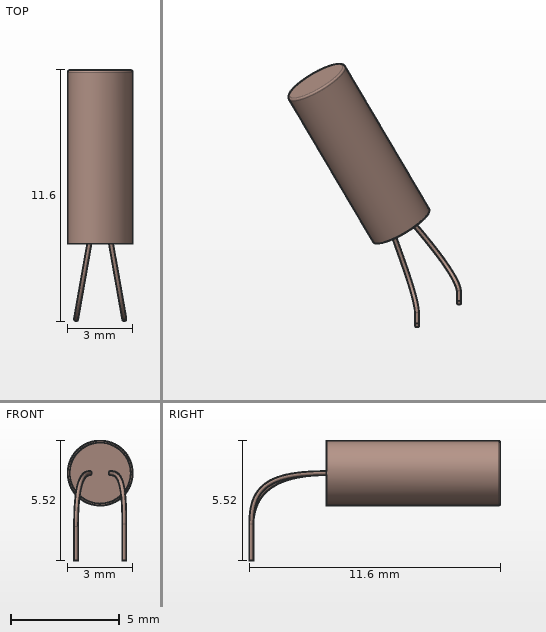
import cadquery as cq
import math

can_diameter = 3.0
can_length = 8.0
wall = 0.1
end_radius = wall
core_diameter = can_diameter - 2 * wall
rim_recess = 0.05

lead_diameter = 0.2
lead_spacing = 1.0
splay_angle = 10.0
lead_reach = 3.45
lead_drop = 4.02
lead_root = lead_diameter

left_bend_drop = 2.44
left_bend_fullness = 0.675
right_bend_drop = 2.33
right_bend_fullness = 0.75


def make_can():
    """Cup with a rounded closed end, its rim at Y = 0."""
    shell = cq.Workplane("XZ").circle(can_diameter / 2).extrude(-can_length)
    shell = shell.faces(">Y").edges().fillet(end_radius)
    bore = cq.Workplane("XZ").circle(core_diameter / 2).extrude(wall - can_length)
    return shell.cut(bore)


def make_lead(side, bend_drop, bend_fullness):
    """Wire that leaves the core face and bends down; side is -1 for left, 1 for right."""
    splay = math.radians(splay_angle)
    outward = cq.Vector(side * math.sin(splay), -math.cos(splay), 0)
    down = cq.Vector(0, 0, -1)

    run = (lead_reach + rim_recess) / math.cos(splay)
    rim_point = cq.Vector(side * lead_spacing / 2, 0, 0)
    start = rim_point - outward * (rim_recess / math.cos(splay))
    root = start - outward * lead_root
    bend_end = start + outward * run + down * bend_drop
    tip = start + outward * run + down * lead_drop

    stub = cq.Edge.makeLine(root, start)
    bend = cq.Edge.makeBezier([
        start,
        start + outward * (bend_fullness * run),
        bend_end - down * (bend_fullness * bend_drop),
        bend_end,
    ])
    tail = cq.Edge.makeLine(bend_end, tip)
    path = cq.Workplane(cq.Wire.assembleEdges([stub, bend, tail]))
    section = cq.Workplane(cq.Plane(origin=root, normal=outward)).circle(lead_diameter / 2)
    return section.sweep(path)


def make_header():
    """Core that fills the can behind the rim, in one piece with its two leads."""
    core_length = can_length - wall - rim_recess
    core = (
        cq.Workplane("XZ", origin=(0, rim_recess, 0))
        .circle(core_diameter / 2)
        .extrude(-core_length)
    )
    left_lead = make_lead(-1, left_bend_drop, left_bend_fullness)
    right_lead = make_lead(1, right_bend_drop, right_bend_fullness)
    return core.union(left_lead).union(right_lead)


can = make_can()
header = make_header()
result = cq.Compound.makeCompound([can.solids().val(), header.solids().val()])